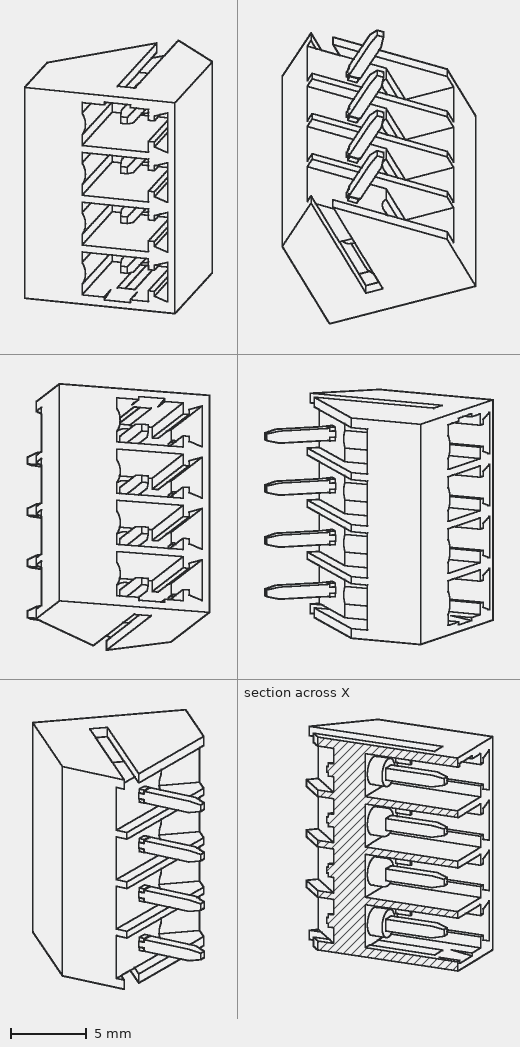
import cadquery as cq
import math

width = 10.4
height = 14.8
apex_y = 12.02
left_wall_top = 5.15
apex_x = apex_y - left_wall_top
right_wall_top = apex_y - (width - apex_x)

pole_count = 4
pitch = 3.5
bay_height = 3.02
half_bay = bay_height / 2
pole_levels = [height / 2 + (i - (pole_count - 1) / 2) * pitch for i in range(pole_count)]

cavity_depth = 6.81
chamber_left = 3.98
chamber_right = 8.57
chamber_middle = (chamber_left + chamber_right) / 2
mouth_height = 3.0
floor_height = 2.95
half_mouth = mouth_height / 2
half_floor = floor_height / 2
bulge_half_chord = 0.77
bulge_rise = 0.24
neck_right = 8.98
neck_half = 0.74
dovetail_right = 9.89
dovetail_half_narrow = 1.08
dovetail_half_wide = 1.39

boss_diameter = 1.9
boss_height = 1.08
boss_edge_radius = 0.2
key_thickness = 0.2
key_width = 0.8

bay_front = 3.98
bay_left = 3.43
bay_slope_offset = 3.98
groove_half_chord = 0.59
groove_rise = 0.19

pin_x = 6.41
pin_size = 0.81
pin_tip_size = 0.46
taper_length = 0.81
front_tip_y = 1.51
rear_tip_x = 1.84
depth = 12.64
rear_tip_y = depth - pin_tip_size / 2 * math.sin(math.pi / 4)
bend_y = rear_tip_x + rear_tip_y - pin_x

neck_width = 0.41
shoulder_span = 0.92
shoulder_length = 0.4
shoulder_setback = 0.07

slot_width = 1.2
slot_front = 2.03
bay_wall = pole_levels[0] - half_bay
window_depth = pole_levels[0] - half_floor
ramp_width = 1.8
ramp_wall = 0.46
ramp_length = 1.7


def make_housing():
    outline = [
        (0, 0),
        (width, 0),
        (width, right_wall_top),
        (apex_x, apex_y),
        (0, left_wall_top),
    ]
    return cq.Workplane("XY").polyline(outline).close().extrude(height)


def make_dovetail(level):
    return (
        cq.Workplane("XZ", origin=(0, 0, level))
        .polyline([
            (chamber_middle, neck_half),
            (neck_right, neck_half),
            (neck_right, dovetail_half_narrow),
            (dovetail_right, dovetail_half_wide),
            (dovetail_right, -dovetail_half_wide),
            (neck_right, -dovetail_half_narrow),
            (neck_right, -neck_half),
            (chamber_middle, -neck_half),
        ])
        .close()
        .extrude(-cavity_depth)
    )


def make_cavity(level):
    chamber = (
        cq.Workplane("YZ", origin=(chamber_left, 0, level))
        .polyline([
            (0, -half_mouth),
            (cavity_depth, -half_floor),
            (cavity_depth, half_floor),
            (0, half_mouth),
        ])
        .close()
        .extrude(chamber_right - chamber_left)
    )
    bulge = (
        cq.Workplane("XZ", origin=(0, 0, level))
        .moveTo(chamber_left, -bulge_half_chord)
        .threePointArc((chamber_left + bulge_rise, 0), (chamber_left, bulge_half_chord))
        .close()
        .extrude(-cavity_depth)
    )
    return chamber.cut(bulge).union(make_dovetail(level))


def make_bay(level):
    recess = (
        cq.Workplane("XY", origin=(0, 0, level - half_bay))
        .polyline([
            (0, bay_front),
            (bay_left, bay_front),
            (bay_left, bay_left + bay_slope_offset),
            (width, width + bay_slope_offset),
            (0, width + bay_slope_offset),
        ])
        .close()
        .extrude(bay_height)
    )
    groove = (
        cq.Workplane("XZ", origin=(0, bay_front, level))
        .moveTo(bay_left, -groove_half_chord)
        .threePointArc((bay_left + groove_rise, 0), (bay_left, groove_half_chord))
        .close()
        .extrude(-(apex_y - bay_front))
    )
    return recess.union(groove)


def make_floor_features(level, rounded):
    boss = (
        cq.Workplane("XZ", origin=(pin_x, cavity_depth, level))
        .circle(boss_diameter / 2)
        .extrude(boss_height)
    )
    if rounded:
        boss = boss.faces("<Y").edges().fillet(boss_edge_radius)
    key = (
        cq.Workplane("XZ", origin=(dovetail_right - key_thickness / 2, cavity_depth, level))
        .rect(key_thickness, key_width)
        .extrude(boss_height)
    )
    return boss.union(key)


def make_leg(length):
    shank = length - taper_length
    leg = cq.Workplane("XY").rect(pin_size, pin_size).extrude(shank)
    tip = (
        cq.Workplane("XY", origin=(0, 0, shank))
        .rect(pin_size, pin_size)
        .workplane(offset=taper_length)
        .rect(pin_tip_size, pin_tip_size)
        .loft()
    )
    return leg.union(tip)


def make_rear_leg():
    length = math.hypot(pin_x - rear_tip_x, rear_tip_y - bend_y)
    root = (pin_x + bay_slope_offset - bend_y) / math.sqrt(2)
    leg = make_leg(length)
    shoulder_width = (shoulder_span - neck_width) / 2
    shoulder_thickness = pin_size - 2 * shoulder_setback
    for side in (-1, 1):
        center = (0, side * (neck_width + shoulder_width) / 2, root + shoulder_length / 2)
        neck_cut = cq.Workplane("XY").box(pin_size, shoulder_width, shoulder_length)
        shoulder = cq.Workplane("XY").box(shoulder_thickness, shoulder_width, shoulder_length)
        leg = leg.cut(neck_cut.translate(center))
        leg = leg.union(shoulder.translate(center))
    return leg


def make_pin(level):
    front = make_leg(bend_y - front_tip_y).rotate((0, 0, 0), (1, 0, 0), 90)
    rear = (
        make_rear_leg()
        .rotate((0, 0, 0), (1, 0, 0), -90)
        .rotate((0, 0, 0), (0, 0, 1), 45)
    )
    return front.union(rear).translate((pin_x, bend_y, level))


def make_end_opening():
    slot = (
        cq.Workplane("XY")
        .box(slot_width, apex_y - slot_front, bay_wall, centered=(True, False, False))
        .translate((pin_x, slot_front, 0))
    )
    window = (
        cq.Workplane("XY")
        .box(slot_width, cavity_depth - slot_front, window_depth, centered=(True, False, False))
        .translate((pin_x, slot_front, 0))
    )
    ramp = (
        cq.Workplane("YZ", origin=(pin_x - ramp_width / 2, 0, 0))
        .polyline([(0, ramp_wall), (ramp_length, window_depth), (0, window_depth)])
        .close()
        .extrude(ramp_width)
    )
    return slot.union(window).union(ramp)


result = make_housing()
opening = make_end_opening()
result = result.cut(opening)
result = result.cut(opening.mirror("XY", (0, 0, height / 2)))
for index, level in enumerate(pole_levels):
    is_inner = 0 < index < pole_count - 1
    result = result.cut(make_cavity(level))
    result = result.cut(make_bay(level))
    result = result.union(make_floor_features(level, is_inner))
    result = result.union(make_pin(level))